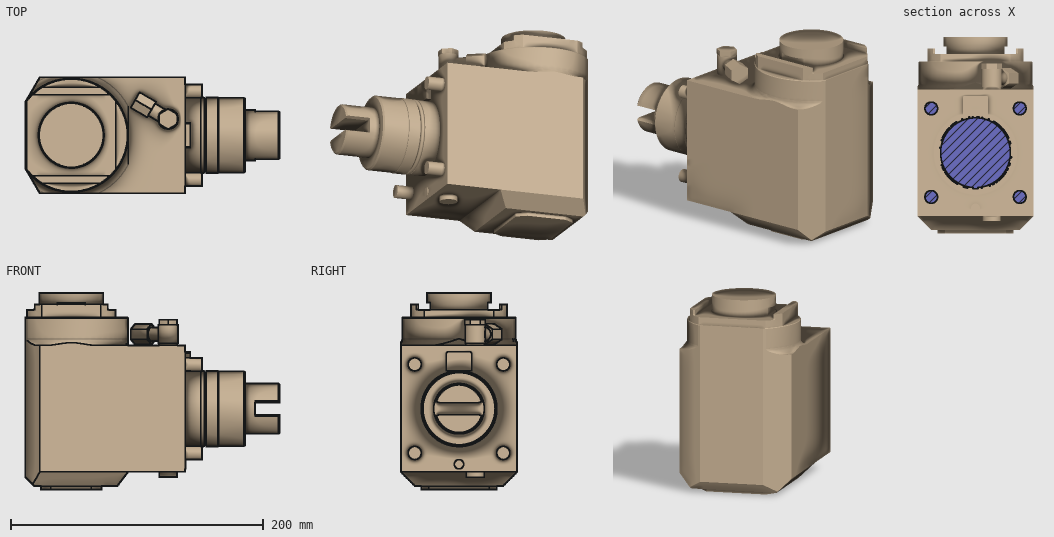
import cadquery as cq
import math


width = 92.0
head_back = -36.5
head_front = 45.0
flange_face = 90.0
housing_half_height = 50.0
corner_cut_y = 20.2
corner_cut_angle = 30.0
corner_cut_x = corner_cut_y * math.tan(math.radians(corner_cut_angle))
belly_bottom = -61.2
belly_side_chamfer = -housing_half_height - belly_bottom
belly_back_chamfer = 7.2
belly_front_run = 8.6

neck_radius = 45.0
neck_fillet = 5.4
neck_top = 72.2
neck_chamfer = 0.5

pad_bottom = -64.0
pad_length = 48.0
pad_width = 60.0
pad_corner_radius = 34.0

plate_length = 70.0
plate_width = 76.0
plate_corner_radius = 44.5
plate_top = 78.2
rail_top = 82.5
rail_length = 58.0
rail_inner_y = 32.2
rail_end_fillet = 1.0

nose_radius = 25.4
nose_top = 91.6
nose_flat_y = 22.8
nose_flat_top = 83.8
nose_gap = 0.6
nose_gap_depth = 2.0

shank_radius = 29.7
band_radius = 30.0
seal_groove_start = 102.5
seal_groove_end = 106.7
seal_groove_radius = 27.8
seal_radius = 1.5
band_end = 116.0
relief_width = 0.7
relief_depth = 0.4
shank_end = 137.7
shank_chamfer = 1.2
tang_radius = 20.0
tang_end = 165.0
tang_chamfer = 1.2
slot_start = 145.4
slot_half_height = 4.8
slot_flare_rise = 1.3
slot_flare_run = 3.3

bolt_offset = 35.0
bolt_radius = 5.2
bolt_end = 103.4
key_end = 94.2
key_top = 45.0
key_bottom = 30.0
key_width = 20.0
key_chamfer = 1.0
button_radius = 3.7
button_z = -43.9
button_thickness = 0.6

elbow_x = 76.6
elbow_y = 12.8
elbow_radius = 7.9
elbow_foot_radius = 7.3
elbow_foot_height = 1.8
elbow_top = 66.2
elbow_hex_top = 70.5
hex_across_flats = 14.1
hex_across_corners = hex_across_flats / math.cos(math.radians(30))
pipe_radius = 5.5
pipe_z = 58.9
pipe_angle = 150.0
nut_start = 15.1
nut_length = 15.0
plug_radius = 7.1
plug_bottom = -54.0


def box(x0, x1, y0, y1, z0, z1):
    return cq.Workplane("XY").box(x1 - x0, y1 - y0, z1 - z0, centered=False).translate((x0, y0, z0))


def cylinder_z(radius, z0, z1, x=0.0, y=0.0):
    return cq.Workplane("XY", origin=(x, y, z0)).circle(radius).extrude(z1 - z0)


def cylinder_x(radius, x0, x1, y=0.0, z=0.0):
    return cq.Workplane("YZ", origin=(x0, y, z)).circle(radius).extrude(x1 - x0)


def rounded_plate(length, plate_w, corner_radius, z0, z1):
    """Rectangular plate whose corners are trimmed by a circle about the spindle axis."""
    plate = box(-length / 2, length / 2, -plate_w / 2, plate_w / 2, z0, z1)
    return plate.intersect(cylinder_z(corner_radius, z0, z1))


def plan_prism(front, z0, z1):
    """Housing plan with both back corners cut, from the back face to the given front face."""
    half = width / 2
    outline = [
        (head_back, -half + corner_cut_y),
        (head_back + corner_cut_x, -half),
        (front, -half),
        (front, half),
        (head_back + corner_cut_x, half),
        (head_back, half - corner_cut_y),
    ]
    return cq.Workplane("XY", origin=(0, 0, z0)).polyline(outline).close().extrude(z1 - z0)


def make_belly():
    """Part of the head below the housing floor, tapered on all four sides."""
    floor = -housing_half_height
    half = width / 2
    side_outline = [
        (head_back, floor),
        (head_back, belly_bottom + belly_back_chamfer),
        (head_back + belly_back_chamfer, belly_bottom),
        (head_front - belly_front_run, belly_bottom),
        (head_front, floor),
    ]
    end_outline = [
        (-half, floor),
        (-half + belly_side_chamfer, belly_bottom),
        (half - belly_side_chamfer, belly_bottom),
        (half, floor),
    ]
    side = cq.Workplane("XZ", origin=(0, half, 0)).polyline(side_outline).close().extrude(width)
    end = cq.Workplane("YZ", origin=(head_back, 0, 0)).polyline(end_outline).close()
    end = end.extrude(head_front - head_back)
    return plan_prism(head_front, belly_bottom, floor).intersect(side).intersect(end)


def make_neck():
    """Round neck with a concave foot and a chamfered top edge, trimmed to the head's plan."""
    z0 = housing_half_height
    foot_radius = neck_radius + neck_fillet
    arc_inset = neck_fillet * (1 - math.sqrt(0.5))
    profile = (
        cq.Workplane("XZ")
        .moveTo(0, z0)
        .lineTo(foot_radius, z0)
        .threePointArc((neck_radius + arc_inset, z0 + arc_inset), (neck_radius, z0 + neck_fillet))
        .lineTo(neck_radius, neck_top - neck_chamfer)
        .lineTo(neck_radius - neck_chamfer, neck_top)
        .lineTo(0, neck_top)
        .close()
    )
    neck = profile.revolve(360, (0, 0, 0), (0, 1, 0))
    return neck.intersect(plan_prism(head_front, z0, neck_top))


def make_top_plate():
    """Plate on the neck carrying two rails, whose cut ends run into the plate with a fillet."""
    plate = rounded_plate(plate_length, plate_width, plate_corner_radius, neck_top, rail_top)
    half_w = plate_width / 2
    half_l = plate_length / 2
    half_rail = rail_length / 2
    channel = box(-half_l, half_l, -rail_inner_y, rail_inner_y, plate_top, rail_top)
    plate = plate.cut(channel)
    end_length = half_l - half_rail
    end_relief = box(half_rail, half_rail + 2 * end_length, -half_w, half_w, plate_top, 2 * rail_top - plate_top)
    end_relief = end_relief.edges("<X and <Z").fillet(rail_end_fillet)
    return plate.cut(end_relief).cut(end_relief.mirror("YZ"))


def make_nose():
    """Round spindle nose with two wrench flats under its rim."""
    nose = cylinder_z(nose_radius, plate_top - nose_gap_depth, nose_top)
    for y0, y1 in ((-nose_radius, -nose_flat_y), (nose_flat_y, nose_radius)):
        nose = nose.cut(box(-nose_radius, nose_radius, y0, y1, plate_top, nose_flat_top))
    return nose


def make_shank():
    """Turned shank with a seal ring in its groove, a wider band, a relief and the drive tang."""
    relief_end = band_end + relief_width
    profile = (
        cq.Workplane("XY")
        .moveTo(flange_face, 0)
        .lineTo(flange_face, shank_radius)
        .lineTo(seal_groove_start, shank_radius)
        .lineTo(seal_groove_start, seal_groove_radius)
        .lineTo(seal_groove_end, seal_groove_radius)
        .lineTo(seal_groove_end, band_radius)
        .lineTo(band_end, band_radius)
        .lineTo(band_end, shank_radius - relief_depth)
        .lineTo(relief_end, shank_radius - relief_depth)
        .lineTo(relief_end, shank_radius)
        .lineTo(shank_end - shank_chamfer, shank_radius)
        .lineTo(shank_end, shank_radius - shank_chamfer)
        .lineTo(shank_end, tang_radius)
        .lineTo(tang_end - tang_chamfer, tang_radius)
        .lineTo(tang_end, tang_radius - tang_chamfer)
        .lineTo(tang_end, 0)
        .close()
    )
    shank = profile.revolve(360, (0, 0, 0), (1, 0, 0))
    seal = (
        cq.Workplane("XY")
        .center(seal_groove_start + seal_radius, band_radius - seal_radius)
        .circle(seal_radius)
        .revolve(360, (0, seal_radius - band_radius, 0), (1, seal_radius - band_radius, 0))
    )
    return shank.union(seal)


def make_tang_slot():
    """Slot across the tang along Y, flared where it leaves the round surface."""
    flare_half_height = slot_half_height + slot_flare_rise
    flare_y = math.sqrt(tang_radius**2 - flare_half_height**2)
    length = tang_end - slot_start
    slot = box(slot_start, tang_end, -tang_radius, tang_radius, -slot_half_height, slot_half_height)
    for side in (-1, 1):
        flare = (
            cq.Workplane("YZ", origin=(slot_start, 0, 0))
            .moveTo(side * (flare_y - slot_flare_run), -slot_half_height)
            .lineTo(side * flare_y, -flare_half_height)
            .lineTo(side * tang_radius, -flare_half_height)
            .lineTo(side * tang_radius, flare_half_height)
            .lineTo(side * flare_y, flare_half_height)
            .lineTo(side * (flare_y - slot_flare_run), slot_half_height)
            .close()
            .extrude(length)
        )
        slot = slot.union(flare)
    return slot


def make_key():
    """Locating key on the flange face above the shank."""
    key = box(flange_face, key_end, -key_width / 2, key_width / 2, key_bottom, key_top)
    return key.edges("|X and >Z").chamfer(key_chamfer)


def hexagon_on(plane, length):
    """Hexagonal bar on the given plane, with corners on the plane's local Y direction."""
    return cq.Workplane(plane).transformed(rotate=(0, 0, 90)).polygon(6, hex_across_corners).extrude(length)


def make_elbow():
    """Coolant elbow: upright body with a hexagon head and a pipe with a union nut."""
    base = housing_half_height
    foot_top = base + elbow_foot_height
    elbow = cylinder_z(elbow_foot_radius, base, foot_top, elbow_x, elbow_y)
    elbow = elbow.union(cylinder_z(elbow_radius, foot_top, elbow_top, elbow_x, elbow_y))
    head_plane = cq.Plane((elbow_x, elbow_y, elbow_top), (1, 0, 0), (0, 0, 1))
    elbow = elbow.union(hexagon_on(head_plane, elbow_hex_top - elbow_top))

    dir_x = math.cos(math.radians(pipe_angle))
    dir_y = math.sin(math.radians(pipe_angle))
    across = (dir_y, -dir_x, 0)
    along = (dir_x, dir_y, 0)
    pipe_plane = cq.Plane((elbow_x, elbow_y, pipe_z), across, along)
    nut_origin = (elbow_x + nut_start * dir_x, elbow_y + nut_start * dir_y, pipe_z)
    nut_plane = cq.Plane(nut_origin, across, along)
    elbow = elbow.union(cq.Workplane(pipe_plane).circle(pipe_radius).extrude(nut_start))
    return elbow.union(hexagon_on(nut_plane, nut_length))


result = plan_prism(flange_face, -housing_half_height, housing_half_height)
result = result.union(make_belly())
result = result.union(make_neck())
result = result.union(rounded_plate(pad_length, pad_width, pad_corner_radius, pad_bottom, belly_bottom))
result = result.union(make_top_plate())
result = result.cut(cylinder_z(nose_radius + nose_gap, plate_top - nose_gap_depth, plate_top))
result = result.union(make_nose())
result = result.union(make_shank().cut(make_tang_slot()))
for bolt_y in (-bolt_offset, bolt_offset):
    for bolt_z in (-bolt_offset, bolt_offset):
        result = result.union(cylinder_x(bolt_radius, flange_face, bolt_end, bolt_y, bolt_z))
result = result.union(make_key())
result = result.union(cylinder_x(button_radius, flange_face, flange_face + button_thickness, z=button_z))
result = result.union(make_elbow())
result = result.union(cylinder_z(plug_radius, plug_bottom, -housing_half_height, elbow_x, elbow_y))